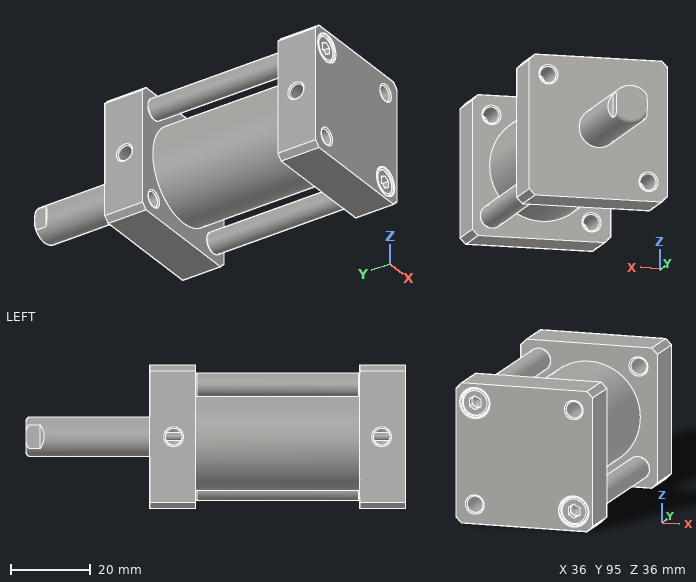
import cadquery as cq
import math

overall_length = 95.0

cap_side = 36.0
cap_length = 11.5
cap_corner_chamfer = 1.5
front_cap_end = 64.0
front_cap_start = front_cap_end - cap_length
tube_length = front_cap_start - cap_length

barrel_diameter = 27.0
bore_diameter = 25.0

rod_diameter = 10.0
rod_tip_fillet = 1.1
flat_width = 8.0
flat_length = 3.5

thread_hole_diameter = 4.2
thread_mouth_diameter = 4.9
corner_offset = 13.0
port_from_outer_face = 6.0
port_depth = 5.7
drill_point_angle = 118.0
port_ridge_diameter = 2.0

head_diameter = 7.0
head_height = 4.0
head_chamfer = 0.4
head_recess = 0.3
counterbore_diameter = 7.5
counterbore_mouth_diameter = 8.0
counterbore_depth = head_recess + head_height
shank_diameter = 4.0
stem_diameter = 6.0
stem_chamfer = 0.3
socket_across_flats = 3.0
socket_depth = 2.0

bolt_places = [(-corner_offset, corner_offset), (corner_offset, -corner_offset)]
hole_places = [(-corner_offset, -corner_offset), (corner_offset, corner_offset)]


def plane_at(y, x=0.0, z=0.0):
    """Work plane that faces +Y, with its local x along +X."""
    return cq.Workplane(cq.Plane(origin=(x, y, z), xDir=(1, 0, 0), normal=(0, 1, 0)))


def cylinder(diameter, start, length, place=(0.0, 0.0)):
    """Cylinder along Y whose axis passes through the (X, Z) place."""
    return plane_at(start, *place).circle(diameter / 2).extrude(length)


def drill_tip_height(diameter):
    return diameter / 2 / math.tan(math.radians(drill_point_angle / 2))


def chamfered_through_hole(place, start):
    """Cutter for a mounting hole with a chamfered mouth on both cap faces."""
    hole_radius = thread_hole_diameter / 2
    mouth_radius = thread_mouth_diameter / 2
    mouth_depth = mouth_radius - hole_radius
    return (
        cq.Workplane("XY")
        .polyline([
            (0, 0),
            (mouth_radius, 0),
            (hole_radius, mouth_depth),
            (hole_radius, cap_length - mouth_depth),
            (mouth_radius, cap_length),
            (0, cap_length),
        ])
        .close()
        .revolve(360, (0, 0, 0), (0, 1, 0))
        .translate((place[0], start, place[1]))
    )


def port_cutter(y):
    """Blind drilled port in the -X side, with a round-nosed ridge left standing across its floor."""
    hole_radius = thread_hole_diameter / 2
    mouth_radius = thread_mouth_diameter / 2
    mouth_depth = mouth_radius - hole_radius
    full_depth = port_depth + drill_tip_height(thread_hole_diameter)
    side = -cap_side / 2
    drilled = (
        cq.Workplane("XY")
        .polyline([
            (side, 0),
            (side, mouth_radius),
            (side + mouth_depth, hole_radius),
            (side + port_depth, hole_radius),
            (side + full_depth, 0),
        ])
        .close()
        .revolve(360, (0, 0, 0), (1, 0, 0))
        .translate((0, y, 0))
    )
    ridge_axis = side + port_depth
    ridge_start = y - mouth_radius
    nose = cylinder(port_ridge_diameter, ridge_start, thread_mouth_diameter, (ridge_axis, 0))
    web_length = full_depth - port_depth
    web = (
        plane_at(ridge_start, ridge_axis + web_length / 2)
        .rect(web_length, port_ridge_diameter)
        .extrude(thread_mouth_diameter)
    )
    return drilled.cut(nose).cut(web)


def cap_block(start, port_y):
    """Square cap with chamfered corners, two mounting holes and one air port."""
    cap = plane_at(start).rect(cap_side, cap_side).extrude(cap_length)
    cap = cap.edges("|Y").chamfer(cap_corner_chamfer)
    for place in hole_places:
        cap = cap.cut(chamfered_through_hole(place, start))
    return cap.cut(port_cutter(port_y))


def make_rear_cap():
    cap = cap_block(0.0, port_from_outer_face)
    mouth_chamfer = (counterbore_mouth_diameter - counterbore_diameter) / 2
    for x, z in bolt_places:
        seat = (
            cq.Workplane("XY")
            .polyline([
                (0, 0),
                (counterbore_mouth_diameter / 2, 0),
                (counterbore_diameter / 2, mouth_chamfer),
                (counterbore_diameter / 2, counterbore_depth),
                (shank_diameter / 2, counterbore_depth),
                (shank_diameter / 2, cap_length),
                (0, cap_length),
            ])
            .close()
            .revolve(360, (0, 0, 0), (0, 1, 0))
            .translate((x, 0, z))
        )
        cap = cap.cut(seat)
    return cap


def make_front_cap():
    cap = cap_block(front_cap_start, front_cap_end - port_from_outer_face)
    return cap.cut(cylinder(rod_diameter, front_cap_start, cap_length))


def make_barrel():
    tube = cylinder(barrel_diameter, cap_length, tube_length)
    return tube.cut(cylinder(bore_diameter, cap_length, tube_length))


def make_rod():
    """Rod from the inner face of the front cap, with two wrench flats at its rounded tip."""
    rod = cylinder(rod_diameter, front_cap_start, overall_length - front_cap_start)
    rod = rod.faces(">Y").edges().fillet(rod_tip_fillet)
    flat_depth = (rod_diameter - flat_width) / 2
    flat_end = overall_length - flat_length
    for side in (-1, 1):
        flat = (
            cq.Workplane("XY")
            .polyline([
                (side * flat_width / 2, overall_length),
                (side * flat_width / 2, flat_end),
                (side * rod_diameter / 2, flat_end - flat_depth),
                (side * rod_diameter / 2, overall_length),
            ])
            .close()
            .extrude(rod_diameter / 2, both=True)
        )
        rod = rod.cut(flat)
    return rod


def make_tie_bolt(place):
    x, z = place
    head = cylinder(head_diameter, head_recess, head_height, place)
    head = head.faces("<Y").edges().chamfer(head_chamfer)
    shank = cylinder(shank_diameter, counterbore_depth, cap_length - counterbore_depth, place)
    stem = cylinder(stem_diameter, cap_length, tube_length, place)
    stem = stem.faces("<Y or >Y").edges().chamfer(stem_chamfer)

    socket_corners = socket_across_flats / math.cos(math.pi / 6)
    socket = (
        plane_at(head_recess, x, z)
        .transformed(rotate=(0, 0, 90))
        .polygon(6, socket_corners)
        .extrude(socket_depth)
    )
    point = (
        cq.Workplane("XY")
        .polyline([
            (0, 0),
            (socket_across_flats / 2, 0),
            (0, drill_tip_height(socket_across_flats)),
        ])
        .close()
        .revolve(360, (0, 0, 0), (0, 1, 0))
        .translate((x, head_recess + socket_depth, z))
    )
    return head.union(shank).union(stem).cut(socket).cut(point)


rear_cap = make_rear_cap()
front_cap = make_front_cap()
barrel = make_barrel()
rod = make_rod()
tie_bolts = [make_tie_bolt(place) for place in bolt_places]

result = cq.Compound.makeCompound([
    rear_cap.val(),
    front_cap.val(),
    barrel.val(),
    rod.val(),
    *[bolt.val() for bolt in tie_bolts],
])